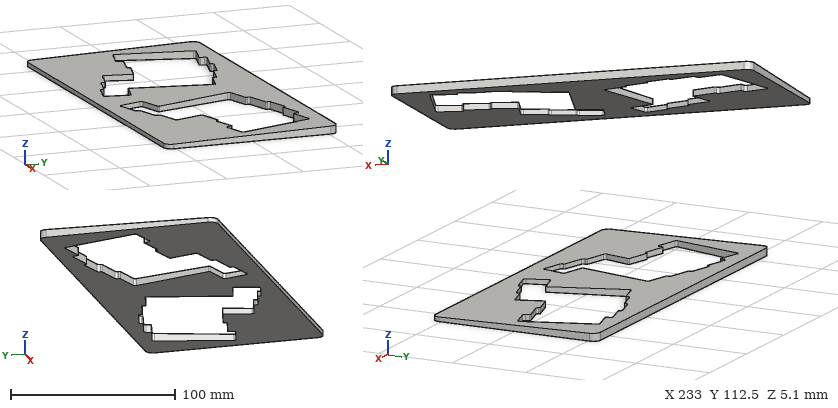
import cadquery as cq

length = 233
width = 112.5
rear_height = 5.1
top_slope = 0.02
front_height = rear_height - top_slope * width
corner_radius = 5.0

splay_angle = -15
key_pitch = 17.0
finger_rows = 3
column_tops = [20.7, 25.5, 27.7, 25.5, 22.8]
thumb_bottoms = [-42.6, -45.5, -47.8]
thumb_top = thumb_bottoms[-1] + key_pitch
outer_edge = -102.7
outer_columns = 3
outer_corner_radius = 1.5
inner_corner_radius = 0.63


def make_plate():
    """Side profile sloping down to the front, with rounded upright corners."""
    half_width = width / 2
    profile = [
        (-half_width, 0),
        (half_width, 0),
        (half_width, rear_height),
        (-half_width, front_height),
    ]
    wedge = cq.Workplane("YZ").polyline(profile).close().extrude(length / 2, both=True)
    return wedge.edges("|Z").fillet(corner_radius)


def opening_corners():
    """Corners of the left opening in (u, v), clockwise from the outer top."""

    def column_edge(index):
        return outer_edge + index * key_pitch

    corners = []
    for index, top in enumerate(column_tops):
        corners.append((column_edge(index), top))
        corners.append((column_edge(index + 1), top))

    inner_edge = column_edge(len(column_tops))
    corners.append((inner_edge, thumb_top))
    corners.append((inner_edge + key_pitch, thumb_top))

    for index in reversed(range(len(thumb_bottoms))):
        left_edge = column_edge(outer_columns + index)
        corners.append((left_edge + key_pitch, thumb_bottoms[index]))
        corners.append((left_edge, thumb_bottoms[index]))

    for index in reversed(range(outer_columns)):
        bottom = column_tops[index] - finger_rows * key_pitch
        corners.append((column_edge(index + 1), bottom))
        corners.append((column_edge(index), bottom))
    return corners


def rounded_outline(corners):
    """Closed clockwise outline with its square corners rounded.

    Corners bulging out of the opening get the outer radius, the others the inner one.
    """
    points = [cq.Vector(u, v) for u, v in corners]
    outline = None
    for index, corner in enumerate(points):
        following = points[(index + 1) % len(points)]
        incoming = (corner - points[index - 1]).normalized()
        outgoing = (following - corner).normalized()
        turns_clockwise = incoming.cross(outgoing).z < 0
        radius = outer_corner_radius if turns_clockwise else inner_corner_radius
        arc_start = corner - incoming * radius
        arc_end = corner + outgoing * radius
        centre = corner + (outgoing - incoming) * radius
        arc_middle = centre + (corner - centre).normalized() * radius
        if outline is None:
            outline = cq.Workplane("XY").moveTo(arc_start.x, arc_start.y)
        else:
            outline = outline.lineTo(arc_start.x, arc_start.y)
        outline = outline.threePointArc((arc_middle.x, arc_middle.y), (arc_end.x, arc_end.y))
    return outline.close()


left_opening = (
    rounded_outline(opening_corners())
    .extrude(rear_height)
    .rotate((0, 0, 0), (0, 0, 1), splay_angle)
)
right_opening = left_opening.mirror("YZ")

result = make_plate().cut(left_opening).cut(right_opening)